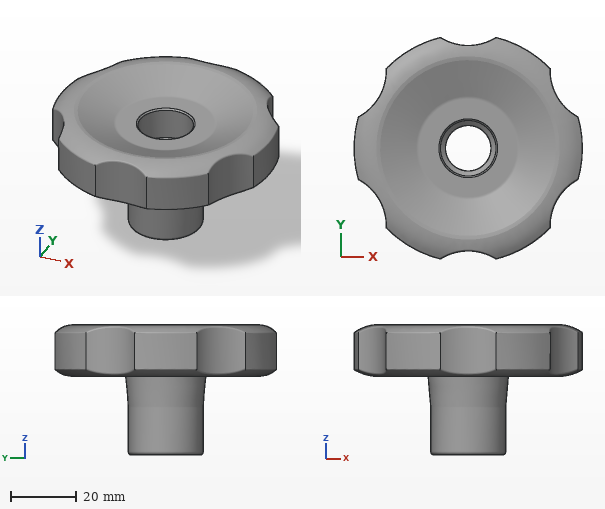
import cadquery as cq
import math

height = 40.0
head_radius = 35.0
head_thickness = 15.95
head_bottom = height - head_thickness

crown_radius = 27.45
top_shoulder_drop = 2.5
bottom_shoulder_rise = 2.1
rim_fillet = 0.55

scallop_count = 6
scallop_radius = 16.1
scallop_floor_radius = 31.5

dish_depth = 4.75
dish_outer_radius = crown_radius
dish_floor_radius = 15.5
dish_rim_fillet = 2.8
dish_floor_fillet = 2.1
dish_floor = height - dish_depth

stem_radius = 23.0 / 2
neck_top_radius = 12.3
neck_start = 14.6
neck_blend_length = 0.2
stem_end_fillet = 1.0

bore_radius = 17.0 / 2
bore_depth = 10.3
bore_chamfer = 0.5
hole_radius = 13.85 / 2
seat_depth = bore_radius - hole_radius


def shoulder_middle(edge_height, flat_height):
    """Middle point of the arc that meets the flat face tangentially and ends on the rim."""
    width = head_radius - crown_radius
    drop = abs(flat_height - edge_height)
    radius = (width**2 + drop**2) / (2 * drop)
    toward_centre = -1 if flat_height > edge_height else 1
    middle_x = crown_radius + width / 2
    sag = radius - math.sqrt(radius**2 - (width / 2) ** 2)
    return middle_x, flat_height + toward_centre * sag


def make_head():
    """Solid disc with curved shoulders and six scallops around its rim."""
    rim_top = height - top_shoulder_drop
    rim_bottom = head_bottom + bottom_shoulder_rise
    disc = (
        cq.Workplane("XZ")
        .moveTo(0, head_bottom)
        .lineTo(crown_radius, head_bottom)
        .threePointArc(shoulder_middle(rim_bottom, head_bottom), (head_radius, rim_bottom))
        .lineTo(head_radius, rim_top)
        .threePointArc(shoulder_middle(rim_top, height), (crown_radius, height))
        .lineTo(0, height)
        .close()
        .revolve(360, (0, 0, 0), (0, 1, 0))
    )
    cutters = (
        cq.Workplane("XY", origin=(0, 0, head_bottom))
        .polarArray(scallop_floor_radius + scallop_radius, 90, 360, scallop_count)
        .circle(scallop_radius)
        .extrude(head_thickness)
    )
    scalloped = disc.cut(cutters)
    outline = scalloped.edges("not(|Z)").filter(
        lambda edge: math.hypot(edge.Center().x, edge.Center().y) > crown_radius + 0.7
    )
    return outline.fillet(rim_fillet)


def make_dish():
    """Shallow cone with a flat floor, removed from the top of the head."""
    return (
        cq.Workplane("XZ")
        .moveTo(0, dish_floor)
        .lineTo(dish_floor_radius, dish_floor)
        .lineTo(dish_outer_radius, height)
        .lineTo(0, height)
        .close()
        .revolve(360, (0, 0, 0), (0, 1, 0))
    )


def make_stem():
    """Cylindrical stem that widens into the neck below the head."""
    taper = math.atan2(neck_top_radius - stem_radius, head_bottom - neck_start)
    blend_end = (
        stem_radius + neck_blend_length * math.sin(taper),
        neck_start + neck_blend_length * math.cos(taper),
    )
    stem = (
        cq.Workplane("XZ")
        .lineTo(stem_radius, 0)
        .lineTo(stem_radius, neck_start - neck_blend_length)
        .tangentArcPoint(blend_end, relative=False)
        .lineTo(neck_top_radius, head_bottom)
        .lineTo(0, head_bottom)
        .close()
        .revolve(360, (0, 0, 0), (0, 1, 0))
    )
    return stem.faces("<Z").edges().fillet(stem_end_fillet)


def make_hole():
    """Chamfered bore with a conical seat leading to a smaller through hole."""
    bore_end = dish_floor - bore_depth
    return (
        cq.Workplane("XZ")
        .lineTo(hole_radius, 0)
        .lineTo(hole_radius, bore_end - seat_depth)
        .lineTo(bore_radius, bore_end)
        .lineTo(bore_radius, dish_floor - bore_chamfer)
        .lineTo(bore_radius + bore_chamfer, dish_floor)
        .lineTo(0, dish_floor)
        .close()
        .revolve(360, (0, 0, 0), (0, 1, 0))
    )


def circle_at(radius, level):
    """Selector for the edges of one level circle about the axis."""
    margin = 0.15
    return cq.selectors.BoxSelector(
        (-radius - margin, -radius - margin, level - margin),
        (radius + margin, radius + margin, level + margin),
        boundingbox=True,
    )


dished_head = make_head().cut(make_dish())
dished_head = dished_head.edges(circle_at(dish_outer_radius, height)).fillet(dish_rim_fillet)
dished_head = dished_head.edges(circle_at(dish_floor_radius, dish_floor)).fillet(dish_floor_fillet)
result = dished_head.union(make_stem()).cut(make_hole())